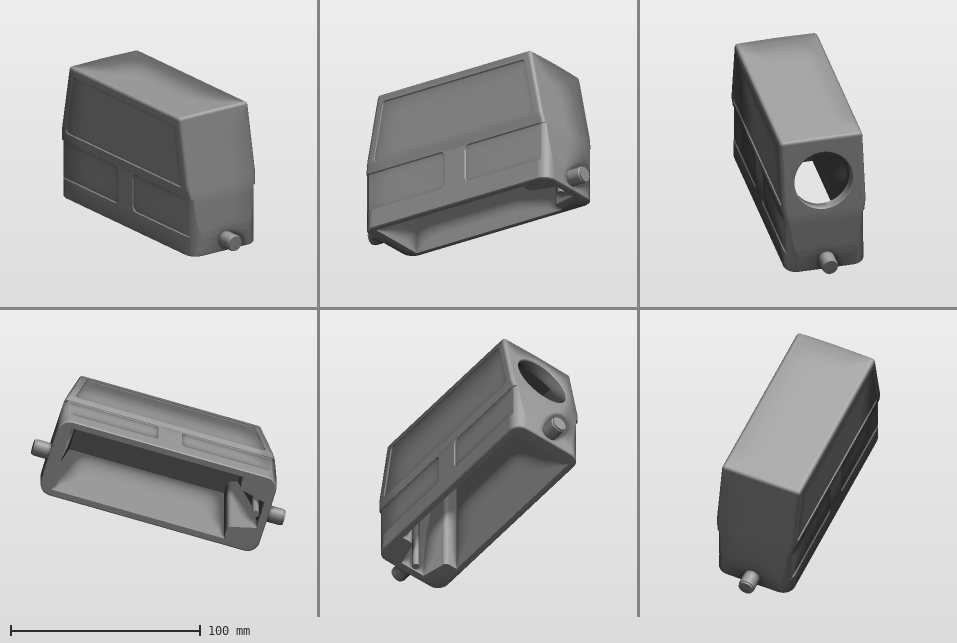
import cadquery as cq
import math


def rise_run(height, angle):
    """Sideways run of a wall leaning by angle (degrees) over a height."""
    return height * math.tan(math.radians(angle))


total_length = 138.1
total_width = 45.0
total_height = 75.8

foot_half_length = 60.2
knee_z = 11.3
shoulder_z = 32.0
lower_slope = 5
upper_slope = 11
bend_radius = 48.3
parting_draft = 0.6
shoulder_half_length = foot_half_length - rise_run(shoulder_z - knee_z, lower_slope)
top_half_length = shoulder_half_length - rise_run(total_height - shoulder_z, upper_slope)

base_half_width = 21.5
upper_half_width = total_width / 2
flare_angle = 10
flare_top_z = shoulder_z + (upper_half_width - base_half_width) / rise_run(1, flare_angle)
flare_radius = 16.6
base_corner_radius = 6.6
upper_edge_radius = 2.0
foot_edge_chamfer = 0.5

panel_depth = 0.7
panel_bevel = 0.4
upper_panel_bottom_z = 37.3
upper_panel_top_z = 71.0
upper_panel_margin = 4.8
upper_panel_corner_radius = 2.2
lower_panel_bottom_z = 10.8
lower_panel_inner_x = 6.4
lower_panel_outer_x = 57.5
lower_panel_floor_end_x = 56.0
run_out_drop = 0.8
lower_panel_corner_radius = 3.0

entry_diameter = 31.5
entry_chamfer = 0.5
entry_z = 52.2

cavity_half_width = 18
top_wall = 4.1
entry_wall = 6.9
far_wall = 4.1

post_face_x = 41.4
post_round = 2.8
post_round_end_y = 10.4
post_lean = 14
rib_diameter = 3.7
rib_peak_z = 46.3

pin_diameter = 8.8
pin_tip_diameter = 8.0
pin_tip_length = 0.8
pin_chamfer = (pin_diameter - pin_tip_diameter) / 2
pin_z = 6.5

overshoot = 13.8
near = 1.4


def end_x(z):
    """Outer half length on the upper slope at height z, in the middle plane."""
    return shoulder_half_length - rise_run(z - shoulder_z, upper_slope)


def bend_points(x, z, angle_below, angle_above):
    """Start, middle and end of the arc that rounds a bend of the end wall at (x, z)."""
    half_turn = math.radians(angle_above - angle_below) / 2
    tangent = bend_radius * math.tan(half_turn)
    sagitta = bend_radius * (1 / math.cos(half_turn) - 1)
    below = math.radians(angle_below)
    middle = below + half_turn
    above = middle + half_turn
    start = (x + tangent * math.sin(below), z - tangent * math.cos(below))
    mid = (x - sagitta * math.cos(middle), z - sagitta * math.sin(middle))
    end = (x - tangent * math.sin(above), z + tangent * math.cos(above))
    return start, mid, end


def length_envelope():
    """Side profile with drafted ends and top; the drafts meet in a ridge at Y = 0."""
    knee_start, knee_mid, knee_end = bend_points(foot_half_length, knee_z, 0, lower_slope)
    shoulder_start, shoulder_mid, shoulder_end = bend_points(
        shoulder_half_length, shoulder_z, lower_slope, upper_slope
    )
    quarter = (
        cq.Workplane("XZ")
        .moveTo(-overshoot, -overshoot)
        .lineTo(foot_half_length, -overshoot)
        .lineTo(*knee_start)
        .threePointArc(knee_mid, knee_end)
        .lineTo(*shoulder_start)
        .threePointArc(shoulder_mid, shoulder_end)
        .lineTo(top_half_length, total_height)
        .lineTo(-overshoot, total_height)
        .close()
        .extrude(total_width, taper=parting_draft)
    )
    half = quarter.union(quarter.mirror("YZ"))
    return half.union(half.mirror("XZ"))


def box_around(x, y, z, x_reach, y_reach, z_reach):
    """Selector for edges whose centre lies within the given reach of a point."""
    return cq.selectors.BoxSelector(
        (x - x_reach, y - y_reach, z - z_reach), (x + x_reach, y + y_reach, z + z_reach)
    )


def base_body(envelope):
    """Narrow lower part: drafted ends meeting at Y = 0 and large rounded corners."""
    corner_x = foot_half_length - rise_run(base_half_width, parting_draft)
    outline = [
        (foot_half_length, 0),
        (corner_x, base_half_width),
        (-corner_x, base_half_width),
        (-foot_half_length, 0),
        (-corner_x, -base_half_width),
        (corner_x, -base_half_width),
    ]
    base = (
        cq.Workplane("XY")
        .polyline(outline)
        .close()
        .extrude(shoulder_z)
        .edges("(|Z and >Y) or (|Z and <Y)")
        .fillet(base_corner_radius)
    )
    return base.faces("<Z").edges().chamfer(foot_edge_chamfer).intersect(envelope)


def upper_body(envelope):
    """Wide upper part: flared sides, with its top and corner edges rounded."""
    section = [
        (0, shoulder_z),
        (-base_half_width, shoulder_z),
        (-upper_half_width, flare_top_z),
        (-upper_half_width, total_height + overshoot),
        (0, total_height + overshoot),
    ]
    flare_bend = box_around(0, -upper_half_width, flare_top_z, total_length, near, near)
    half = (
        cq.Workplane("YZ")
        .polyline(section)
        .close()
        .extrude(foot_half_length, both=True)
        .edges(flare_bend)
        .fillet(flare_radius)
        .intersect(envelope)
    )
    rim = box_around(0, -upper_half_width, total_height, total_length, upper_half_width - near, near)
    wall_z = (shoulder_z + total_height) / 2
    x_reach = foot_half_length - top_half_length
    z_reach = total_height - wall_z
    plus_x_corner = box_around(foot_half_length, -upper_half_width, wall_z, x_reach, near, z_reach)
    minus_x_corner = box_around(-foot_half_length, -upper_half_width, wall_z, x_reach, near, z_reach)
    half = half.edges(rim + plus_x_corner + minus_x_corner).fillet(upper_edge_radius)
    return half.union(half.mirror("XZ"))


def upper_panel():
    bottom_x = end_x(upper_panel_bottom_z) - upper_panel_margin
    top_x = end_x(upper_panel_top_z) - upper_panel_margin
    outline = [
        (-bottom_x, upper_panel_bottom_z),
        (bottom_x, upper_panel_bottom_z),
        (top_x, upper_panel_top_z),
        (-top_x, upper_panel_top_z),
    ]
    return (
        cq.Workplane("XZ", origin=(0, panel_depth - upper_half_width, 0))
        .polyline(outline)
        .close()
        .extrude(overshoot)
        .edges("|Y")
        .fillet(upper_panel_corner_radius)
        .faces(">Y")
        .chamfer(panel_bevel)
    )


def lower_panel():
    """Pocket on the +X half that runs out through the rounded base corner."""
    floor_y = panel_depth - base_half_width
    height = shoulder_z - lower_panel_bottom_z
    pocket = (
        cq.Workplane("XY", origin=(lower_panel_inner_x, floor_y - overshoot, lower_panel_bottom_z))
        .box(foot_half_length, overshoot, height, centered=False)
        .edges("|Y and <X")
        .fillet(lower_panel_corner_radius)
        .faces(">Y")
        .chamfer(panel_bevel)
    )
    run_out_limit = (
        cq.Workplane("XY", origin=(0, 0, lower_panel_bottom_z))
        .rect(2 * lower_panel_outer_x, total_width + overshoot)
        .extrude(height)
    )
    run_out = (
        cq.Workplane("XY", origin=(0, 0, lower_panel_bottom_z))
        .polyline(
            [
                (lower_panel_floor_end_x, floor_y),
                (lower_panel_outer_x, floor_y + run_out_drop),
                (lower_panel_outer_x, floor_y - overshoot),
                (lower_panel_floor_end_x, floor_y - overshoot),
            ]
        )
        .close()
        .extrude(height)
    )
    return pocket.intersect(run_out_limit).union(run_out)


def cavity():
    """Hollow open at the bottom, its end walls following the outer slopes."""
    ceiling_z = total_height - top_wall
    outline = [
        (foot_half_length - far_wall, -overshoot),
        (foot_half_length - far_wall, knee_z),
        (shoulder_half_length - far_wall, shoulder_z),
        (end_x(ceiling_z) - far_wall, ceiling_z),
        (entry_wall - end_x(ceiling_z), ceiling_z),
        (entry_wall - shoulder_half_length, shoulder_z),
        (entry_wall - foot_half_length, knee_z),
        (entry_wall - foot_half_length, -overshoot),
    ]
    return cq.Workplane("XZ").polyline(outline).close().extrude(cavity_half_width, both=True)


def corner_post():
    """Post in the +X, +Y corner of the cavity with a rounded, leaning inner side."""
    back_x = foot_half_length
    centre_x = post_face_x + post_round
    round_start_y = post_round_end_y + post_round
    diagonal = post_round * math.sqrt(0.5)
    round_mid = (centre_x - diagonal, round_start_y - diagonal)
    back_y = post_round_end_y - rise_run(back_x - centre_x, post_lean)
    return (
        cq.Workplane("XY")
        .moveTo(post_face_x, cavity_half_width)
        .lineTo(post_face_x, round_start_y)
        .threePointArc(round_mid, (centre_x, post_round_end_y))
        .lineTo(back_x, back_y)
        .lineTo(back_x, cavity_half_width)
        .close()
        .extrude(total_height)
    )


def wall_rib():
    """Upright round rib that runs out into the sloped +X wall at its peak."""
    axis_x = end_x(rib_peak_z) - far_wall + rib_diameter / 2
    return cq.Workplane("XY").center(axis_x, 0).circle(rib_diameter / 2).extrude(total_height)


def cable_entry():
    lean = math.radians(upper_slope)
    normal = cq.Vector(-math.cos(lean), 0, math.sin(lean))
    plane = cq.Plane(origin=(-end_x(entry_z), 0, entry_z), xDir=(0, 1, 0), normal=normal)
    bore_length = 2 * entry_wall
    bore = cq.Workplane(plane).circle(entry_diameter / 2).extrude(bore_length, both=True)
    mouth = cq.Solid.makeCone(
        entry_diameter / 2 + entry_chamfer,
        entry_diameter / 2,
        entry_chamfer,
        plane.origin,
        normal * -1,
    )
    return bore.union(cq.Workplane(mouth))


def locking_pin():
    """Pin on the +X end: full shank, short chamfer, narrower tip."""
    half_length = total_length / 2
    shank_end = half_length - pin_tip_length
    root = foot_half_length - far_wall
    shank = (
        cq.Workplane("YZ", origin=(root, 0, pin_z))
        .circle(pin_diameter / 2)
        .extrude(shank_end - root)
        .faces(">X")
        .chamfer(pin_chamfer)
    )
    tip = (
        cq.Workplane("YZ", origin=(root, 0, pin_z))
        .circle(pin_tip_diameter / 2)
        .extrude(half_length - root)
    )
    return shank.union(tip)


envelope = length_envelope()
outer = base_body(envelope).union(upper_body(envelope))

lower_pocket = lower_panel()
side_panels = upper_panel().union(lower_pocket).union(lower_pocket.mirror("YZ"))
outer = outer.cut(side_panels).cut(side_panels.mirror("XZ"))

post = corner_post()
hollow = cavity().cut(post).cut(post.mirror("XZ")).cut(wall_rib())
pin = locking_pin()
result = outer.cut(hollow).cut(cable_entry()).union(pin).union(pin.mirror("YZ"))